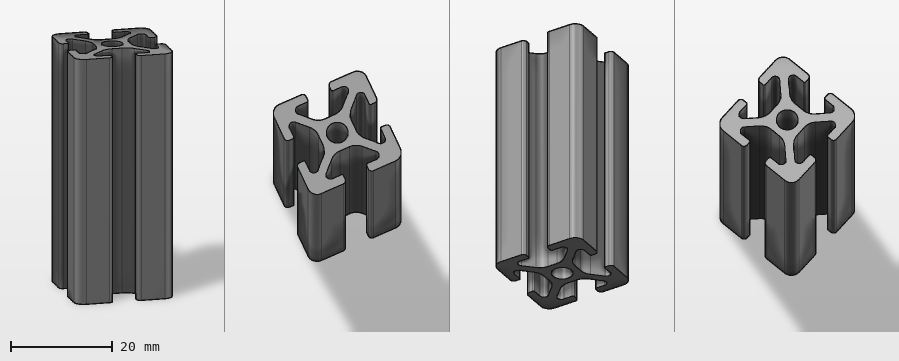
import cadquery as cq
import math

length = 50.0
side = 20.0
half_side = side / 2
corner_radius = 2.0

bore_diameter = 4.25
core_half_width = 3.6
core_radius = 3.15
web_thickness = 1.75

mouth_half_width = 2.5
lip_thickness = 1.85
lip_outer_radius = 0.75
lip_inner_radius = 0.3
cavity_radius = 0.9

web_offset = web_thickness / math.sqrt(2)
lip_underside = half_side - lip_thickness
floor_half_width = core_half_width - web_offset
cavity_half_width = lip_underside - web_offset


def upright_edges_at(x, y):
    """Select the vertical edges at (x, y) and its mirror image at (-x, y)."""
    box_half = 0.005
    selector = None
    for edge_x in (x, -x):
        box = cq.selectors.BoxSelector(
            (edge_x - box_half, y - box_half, 0),
            (edge_x + box_half, y + box_half, length),
        )
        selector = box if selector is None else selector + box
    return selector


def make_slot():
    """Cutter for the +Y slot: trapezoid cavity with a narrow mouth."""
    cavity = (
        cq.Workplane("XY")
        .polyline([
            (-floor_half_width, core_half_width),
            (floor_half_width, core_half_width),
            (cavity_half_width, lip_underside),
            (mouth_half_width, lip_underside),
            (mouth_half_width, half_side),
            (-mouth_half_width, half_side),
            (-mouth_half_width, lip_underside),
            (-cavity_half_width, lip_underside),
        ])
        .close()
        .extrude(length)
    )
    return (
        cavity
        .edges(upright_edges_at(floor_half_width, core_half_width)).fillet(core_radius)
        .edges(upright_edges_at(cavity_half_width, lip_underside)).fillet(cavity_radius)
        .edges(upright_edges_at(mouth_half_width, lip_underside)).fillet(lip_inner_radius)
    )


def make_profile():
    """Square bar with rounded corners, four slots and a central bore."""
    bar = cq.Workplane("XY").rect(side, side).extrude(length)
    bar = bar.edges("|Z").fillet(corner_radius)
    slot = make_slot()
    slot_count = 4
    for index in range(slot_count):
        angle = index * 360 / slot_count
        bar = bar.cut(slot.rotate((0, 0, 0), (0, 0, 1), angle))
    for _ in range(slot_count):
        bar = bar.edges(upright_edges_at(mouth_half_width, half_side)).fillet(lip_outer_radius)
        bar = bar.rotate((0, 0, 0), (0, 0, 1), 360 / slot_count)
    bore = cq.Workplane("XY").circle(bore_diameter / 2).extrude(length)
    return bar.cut(bore)


result = make_profile()